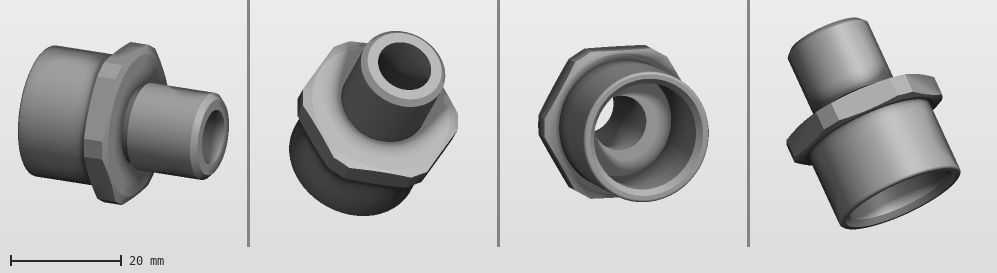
import cadquery as cq
import math

total_length = 33.5

socket_diameter = 24.0
socket_length = 14.0
socket_edge_radius = 0.5
bore_diameter = 19.5
bore_mouth_diameter = 21.5
bore_depth = 15.0

nut_width = 4.5
nut_across_flats = 27.0
nut_across_corner_flats = 29.18
nut_face_diameter = 26.0
nut_bevel_angle = 15.0

neck_diameter = 14.0
neck_length = 1.5
spigot_diameter = 15.95
spigot_end_chamfer = 1.0
through_hole_diameter = 10.0

hexagon_half_angle = 30.0
hexagon_inner_ratio = math.cos(math.radians(hexagon_half_angle))

nut_start = socket_length
nut_end = nut_start + nut_width
spigot_start = nut_end + neck_length
spigot_length = total_length - spigot_start


def cylinder(diameter, start, length):
    """Solid cylinder on the X axis from start to start + length."""
    return cq.Workplane("YZ").workplane(offset=start).circle(diameter / 2).extrude(length)


def hex_prism(across_flats, turn):
    """Hexagonal prism filling the nut section, turned about X by the given angle in degrees."""
    across_corners = across_flats / hexagon_inner_ratio
    prism = cq.Workplane("YZ").workplane(offset=nut_start).polygon(6, across_corners).extrude(nut_width)
    return prism.rotate((0, 0, 0), (1, 0, 0), turn)


def nut_bevel_envelope():
    """Revolved body whose conical ends bevel the nut corners on both faces."""
    face_radius = nut_face_diameter / 2
    outer_radius = nut_across_corner_flats / 2 / hexagon_inner_ratio
    bevel_depth = (outer_radius - face_radius) * math.tan(math.radians(nut_bevel_angle))
    return (
        cq.Workplane("XY")
        .moveTo(nut_start, 0)
        .lineTo(nut_start, face_radius)
        .lineTo(nut_start + bevel_depth, outer_radius)
        .lineTo(nut_end - bevel_depth, outer_radius)
        .lineTo(nut_end, face_radius)
        .lineTo(nut_end, 0)
        .close()
        .revolve(360, (0, 0, 0), (1, 0, 0))
    )


def nut():
    """Hexagon with flats at +Z and -Z, its corners cut flat by a second hexagon, both faces bevelled."""
    main_hexagon = hex_prism(nut_across_flats, 0)
    corner_hexagon = hex_prism(nut_across_corner_flats, hexagon_half_angle)
    return main_hexagon.intersect(corner_hexagon).intersect(nut_bevel_envelope())


def socket_bore():
    """Blind bore with a 45 degree lead-in at its mouth."""
    lead_in = (bore_mouth_diameter - bore_diameter) / 2
    mouth_cone = (
        cq.Workplane("YZ")
        .circle(bore_mouth_diameter / 2)
        .workplane(offset=lead_in)
        .circle(bore_diameter / 2)
        .loft()
    )
    return cylinder(bore_diameter, 0, bore_depth).union(mouth_cone)


socket = cylinder(socket_diameter, 0, socket_length).faces("<X").edges().fillet(socket_edge_radius)
neck = cylinder(neck_diameter, nut_end, neck_length)
spigot = cylinder(spigot_diameter, spigot_start, spigot_length).faces(">X").chamfer(spigot_end_chamfer)

body = socket.union(nut()).union(neck).union(spigot)
result = body.cut(socket_bore()).cut(cylinder(through_hole_diameter, 0, total_length))